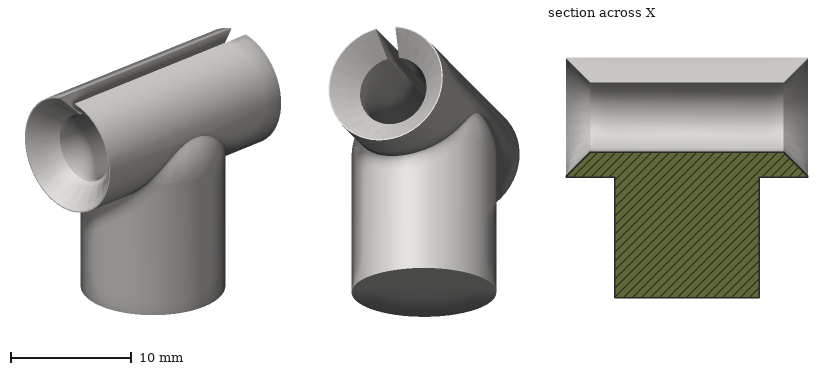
import cadquery as cq
import math

tube_length = 20.0
tube_radius = 5.0
bore_radius = 2.9
axis_height = 15.0
countersink_depth = 2.0
countersink_radius = bore_radius + countersink_depth
slot_angle = 20.0

column_radius = 6.0
shoulder_start = 11.88

core_diameter = 0.02
core_length = 2 * column_radius


def along_y(radius, length):
    """Cylinder on the tube axis, centred on Y = 0."""
    return (
        cq.Workplane("XZ", origin=(0, length / 2, axis_height))
        .circle(radius)
        .extrude(length)
    )


def make_column():
    """Revolved column whose shoulder arc is tangent to its side."""
    rise = axis_height - shoulder_start
    inset = column_radius - tube_radius
    arc_radius = (rise**2 + inset**2) / (2 * inset)
    half_sweep = math.asin(rise / arc_radius) / 2
    arc_middle = (
        column_radius - arc_radius * (1 - math.cos(half_sweep)),
        shoulder_start + arc_radius * math.sin(half_sweep),
    )
    return (
        cq.Workplane("XZ")
        .lineTo(column_radius, 0)
        .lineTo(column_radius, shoulder_start)
        .threePointArc(arc_middle, (tube_radius, axis_height))
        .lineTo(0, axis_height)
        .close()
        .revolve(360, (0, 0), (0, 1))
    )


def make_bore():
    """Through bore with a conical countersink at both ends, revolved about the tube axis."""
    end = tube_length / 2
    cone_start = end - countersink_depth
    return (
        cq.Workplane("XY", origin=(0, 0, axis_height))
        .polyline([
            (0, -end),
            (countersink_radius, -end),
            (bore_radius, -cone_start),
            (bore_radius, cone_start),
            (countersink_radius, end),
            (0, end),
        ])
        .close()
        .revolve(360, (0, 0), (0, 1))
    )


def make_slot():
    """Wedge with its tip on the tube axis, opening the top of the tube."""
    wedge_height = 2 * tube_radius
    half_width = wedge_height * math.tan(math.radians(slot_angle / 2))
    return (
        cq.Workplane("XZ", origin=(0, tube_length / 2, axis_height))
        .polyline([(0, 0), (half_width, wedge_height), (-half_width, wedge_height)])
        .close()
        .extrude(tube_length)
    )


def make_connector():
    """T-shaped connector: column and slotted tube in one piece."""
    solid = make_column().union(along_y(tube_radius, tube_length))
    return solid.cut(make_bore()).cut(make_slot())


def make_core():
    """Thin rod held clear of the bore wall."""
    return along_y(core_diameter / 2, core_length)


connector = make_connector()
core = make_core()

result = cq.Compound.makeCompound([connector.solids().val(), core.val()])